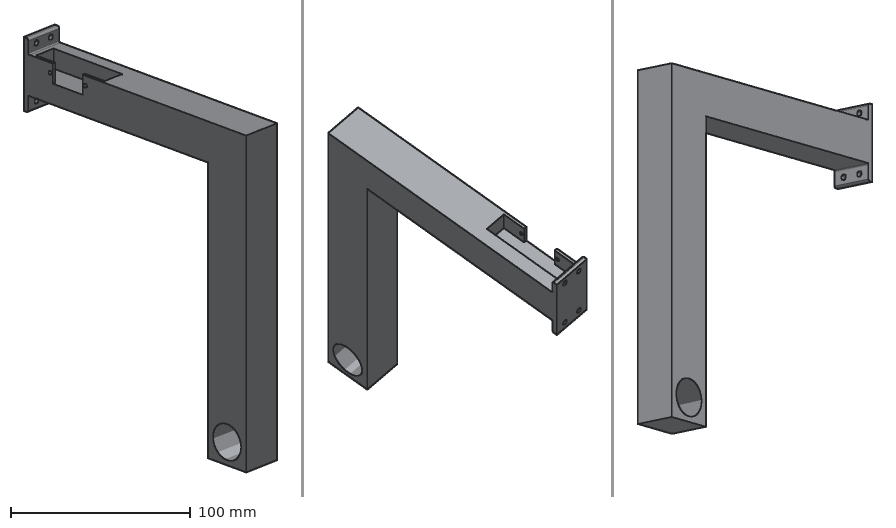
import cadquery as cq

length = 172.4
depth = 25.0
height = 212.8

arm_height = 25.0
arm_top = 203.2
arm_bottom = arm_top - arm_height
leg_width = 29.5
plate_thickness = 3.5
plate_height = 44.7
plate_bottom = height - plate_height
plate_edge_radius = 1.3
root_radius = 0.6

foot_hole_diameter = 21.7
foot_hole_height = 14.0

plate_hole_diameter = 3.2
plate_hole_spacing_y = 11.5
plate_hole_spacing_z = 35.0
plate_hole_top_inset = 4.7
plate_hole_center_z = height - plate_hole_top_inset - plate_hole_spacing_z / 2

pocket_start = 7.7
pocket_length = 53.2
pocket_width = 14.0
pocket_depth = 12.1
front_wall = 2.0
window_width = 23.0
window_center = 34.0
pocket_floor = arm_top - pocket_depth

wall_hole_diameter = 2.3
wall_hole_spacing = 27.2
wall_hole_inset = 6.2
wall_hole_height = arm_top - wall_hole_inset


def block(x, y, z, size_x, size_y, size_z):
    """Box whose lowest corner is at (x, y, z)."""
    return cq.Workplane("XY").box(size_x, size_y, size_z, centered=False).translate((x, y, z))


def cross_hole(x, z, diameter, hole_depth):
    """Cylinder along Y, starting at the front face."""
    return cq.Workplane("XZ", origin=(x, 0, z)).circle(diameter / 2).extrude(-hole_depth)


def make_body():
    """L-shaped arm and leg with the mounting plate at the free end of the arm."""
    arm = block(0, 0, arm_bottom, length, depth, arm_height)
    leg = block(length - leg_width, 0, 0, leg_width, depth, arm_top)
    plate = block(0, 0, plate_bottom, plate_thickness, depth, plate_height)
    plate = plate.edges("|Y and >X").fillet(plate_edge_radius)
    body = arm.union(leg).union(plate)
    roots = cq.selectors.BoxSelector(
        (plate_thickness - root_radius, 0, arm_bottom - root_radius),
        (plate_thickness + root_radius, depth, arm_top + root_radius),
    )
    return body.edges("|Y").edges(roots).fillet(root_radius)


def make_plate_holes():
    """Four screw holes through the mounting plate."""
    return (
        cq.Workplane("YZ", origin=(0, depth / 2, plate_hole_center_z))
        .rarray(plate_hole_spacing_y, plate_hole_spacing_z, 2, 2)
        .circle(plate_hole_diameter / 2)
        .extrude(plate_thickness)
    )


def make_pocket():
    """Pocket with a window of the same depth through the front wall."""
    pocket = block(pocket_start, front_wall, pocket_floor, pocket_length, pocket_width, pocket_depth)
    window_start = window_center - window_width / 2
    window = block(window_start, 0, pocket_floor, window_width, front_wall, pocket_depth)
    return pocket.union(window)


result = make_body().cut(make_plate_holes()).cut(make_pocket())
result = result.cut(cross_hole(length - leg_width / 2, foot_hole_height, foot_hole_diameter, depth))
for side in (-1, 1):
    hole_x = window_center + side * wall_hole_spacing / 2
    result = result.cut(cross_hole(hole_x, wall_hole_height, wall_hole_diameter, front_wall))